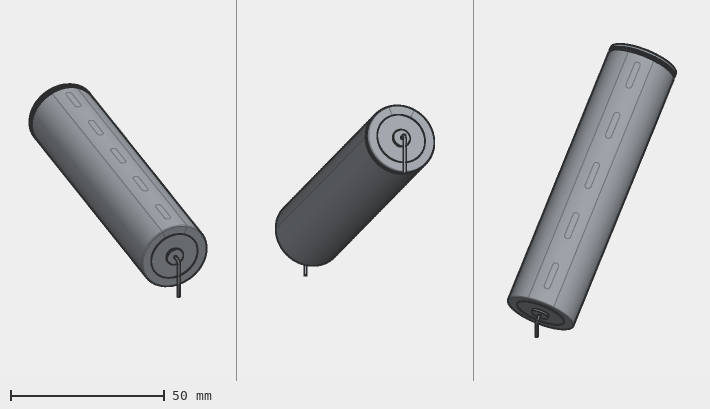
import cadquery as cq
import math


body_diameter = 23.0
body_length = 93.2
rim_fillet = 0.3
body_radius = body_diameter / 2
body_end = body_length / 2

sleeve_thickness = 0.2
sleeve_opening_diameter = 16.4
core_length = body_length - 2 * sleeve_thickness

groove_offset = 1.15
groove_width = 1.2
groove_floor_width = 0.6
groove_depth = 0.2

stripe_angle = 45.0
stripe_depth = 0.2
mark_count = 5
mark_pitch = 18.45
mark_length = 9.4
mark_width = 2.0

boss_diameter = 5.75
boss_height = 0.6
wire_diameter = 0.9
lead_pitch = 100.0
lead_drop = 13.5
bend_radius = 0.9


def rod_along_x(diameter, length):
    """Cylinder along X, centred on the origin."""
    return cq.Workplane("YZ").circle(diameter / 2).extrude(length / 2, both=True)


def crimp_groove():
    """Ring of trapezoidal section to remove from the body near its -X end."""
    start = groove_offset - body_end
    slope_run = (groove_width - groove_floor_width) / 2
    floor_radius = body_radius - groove_depth
    clear_radius = body_radius + groove_depth
    return (
        cq.Workplane("XY")
        .moveTo(start - slope_run, clear_radius)
        .lineTo(start + slope_run, floor_radius)
        .lineTo(start + slope_run + groove_floor_width, floor_radius)
        .lineTo(start + groove_width + slope_run, clear_radius)
        .close()
        .revolve(360, (0, 0, 0), (1, 0, 0))
    )


def sleeved_body():
    """Body with rounded rims, a recess in each end and the crimp groove."""
    body = rod_along_x(body_diameter, body_length).edges().fillet(rim_fillet)
    recesses = rod_along_x(sleeve_opening_diameter, body_length).cut(
        rod_along_x(sleeve_opening_diameter, core_length)
    )
    return body.cut(recesses).cut(crimp_groove())


def stripe_wedge():
    """Wedge about +Z that bounds the polarity stripe."""
    reach = body_diameter
    half_width = reach * math.tan(math.radians(stripe_angle / 2))
    return (
        cq.Workplane("YZ")
        .polyline([(0, 0), (half_width, reach), (-half_width, reach)])
        .close()
        .extrude(body_length, both=True)
    )


def minus_marks():
    """Upright prisms that outline the row of minus marks on the stripe."""
    return (
        cq.Workplane("XY")
        .rarray(mark_pitch, 1, mark_count, 1)
        .slot2D(mark_length, mark_width)
        .extrude(body_diameter)
    )


def inlay(body, region):
    """Turn the skin of the body inside a region into separate, flush faces."""
    core = rod_along_x(body_diameter - 2 * stripe_depth, core_length)
    piece = body.intersect(region, clean=False).cut(core, clean=False)
    return body.cut(piece, clean=False).union(piece, clean=False)


def boss_rod():
    """Cylinder through the body that stands out of both ends as the bosses."""
    return rod_along_x(boss_diameter, body_length + 2 * boss_height)


def lead(side):
    """Wire leaving one end along X and bending down; side is -1 or +1."""
    lead_x = side * lead_pitch / 2
    bend_start = lead_x - side * bend_radius
    bend_inset = bend_radius * (1 - math.cos(math.radians(45)))
    path = (
        cq.Workplane("XZ")
        .moveTo(side * body_end, 0)
        .lineTo(bend_start, 0)
        .threePointArc((lead_x - side * bend_inset, -bend_inset), (lead_x, -bend_radius))
        .lineTo(lead_x, -lead_drop)
    )
    section = cq.Workplane("YZ", origin=(side * body_end, 0, 0)).circle(wire_diameter / 2)
    return section.sweep(path)


result = inlay(sleeved_body(), stripe_wedge())
result = inlay(result, minus_marks())
result = result.union(boss_rod(), clean=False)
for side in (-1, 1):
    result = result.union(lead(side), clean=False)